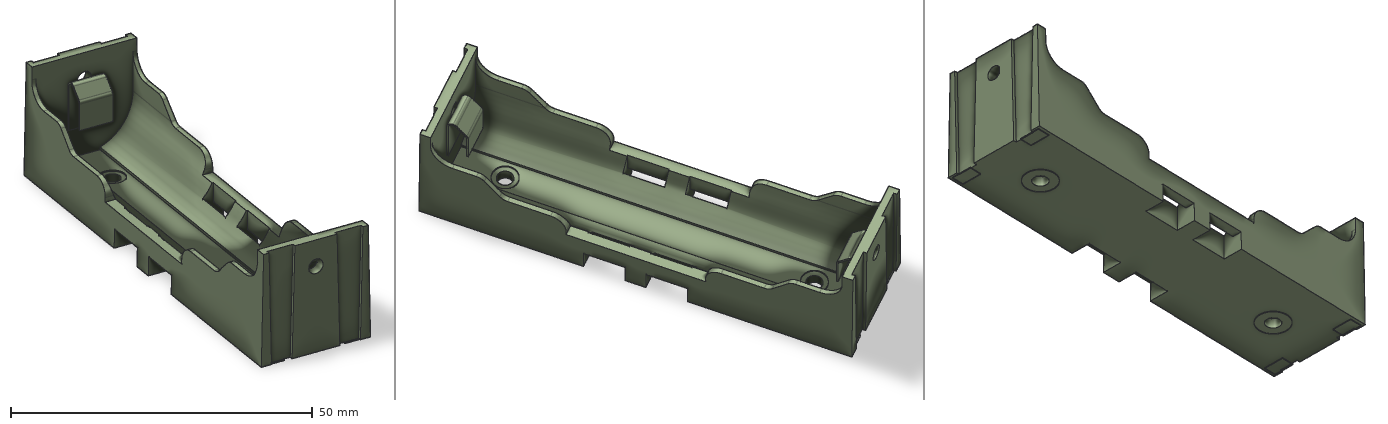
import cadquery as cq
import math


length = 77.9
base_width = 21.0
top_width = 20.2
body_height = 21.2
end_wall = 1.95

cell_radius = 9.35
cell_axis_z = 11.4
floor_z = cell_axis_z - cell_radius
floor_width = 6.0

shoulder_z = 14.8
shoulder_round = 4.0
shoulder_end_x = 27.9
step_z = 10.8
step_round = 2.0
sill_z = 7.2
sill_half_length = 12.55
sill_corner_round = 2.8

window_inner_x = 1.9
window_outer_x = 9.35
window_height = 3.6
window_depth = 4.0
sill_rail = 1.95

groove_depth = 0.6
groove_inner_top = 4.05
groove_inner_base = 4.6
groove_outer_top = 9.0
groove_outer_base = 8.6

screw_x = 27.8
screw_diameter = 2.9
counterbore_diameter = 4.7
counterbore_depth = 0.2
peep_hole_diameter = 2.7
peep_hole_z = 16.2

pad_height = 0.15
round_pad_diameter = 6.3
corner_pad_length = 2.5
corner_pad_width = 4.1
corner_pad_x = 37.3
corner_pad_y = 7.9

strip_width = 6.4
strip_thickness = 0.3
strip_back_bend = 1.2
strip_bend = 0.9
strip_depth = 3.9
strip_top_z = 16.8
strip_front_base_z = 9.1
strip_back_base_z = 7.5

inner_x = length / 2 - end_wall


def make_body():
    section = [
        (-base_width / 2, 0),
        (base_width / 2, 0),
        (top_width / 2, body_height),
        (-top_width / 2, body_height),
    ]
    return cq.Workplane("YZ").polyline(section).close().extrude(length / 2, both=True)


def make_trough():
    trough_length = 2 * inner_x
    end_plane = cq.Workplane("YZ", origin=(-inner_x, 0, 0))
    trough = end_plane.center(0, cell_axis_z).circle(cell_radius).extrude(trough_length)
    above_axis = cq.Workplane("XY", origin=(0, 0, cell_axis_z)).rect(trough_length, 2 * cell_radius)
    flat_floor = cq.Workplane("XY", origin=(0, 0, floor_z)).rect(trough_length, floor_width)
    return trough.union(above_axis.extrude(body_height)).union(flat_floor.extrude(cell_radius))


def make_side_opening():
    slope_foot_x = shoulder_end_x - (shoulder_z - step_z)
    corners = [
        (inner_x, shoulder_z, shoulder_round),
        (shoulder_end_x, shoulder_z, step_round),
        (slope_foot_x, step_z, step_round),
        (sill_half_length, step_z, sill_corner_round),
    ]
    right_side = [(inner_x, body_height)] + [(x, z) for x, z, _ in corners] + [(sill_half_length, sill_z)]
    left_side = [(-x, z) for x, z in reversed(right_side)]
    opening = cq.Workplane("XZ").polyline(right_side + left_side).close().extrude(base_width, both=True)
    for x, z, radius in corners:
        for side in (-1, 1):
            corner_edge = cq.selectors.NearestToPointSelector((side * x, 0, z))
            opening = opening.edges("|Y").edges(corner_edge).fillet(radius)
    return opening


def make_window(x_side, y_side):
    window_length = window_outer_x - window_inner_x
    center_x = x_side * (window_inner_x + window_outer_x) / 2
    outer_y = base_width / 2
    notch = cq.Workplane("XY").box(window_length, window_depth, window_height, centered=(True, True, False))
    notch = notch.translate((center_x, y_side * (outer_y - window_depth / 2), 0))
    slot_width = window_depth - sill_rail
    slot = cq.Workplane("XY").box(window_length, slot_width, body_height, centered=(True, True, False))
    slot = slot.translate((center_x, y_side * (outer_y - sill_rail - slot_width / 2), 0))
    return notch.union(slot)


def make_end_groove(x_side, y_side):
    outline = [
        (y_side * groove_inner_base, 0),
        (y_side * groove_outer_base, 0),
        (y_side * groove_outer_top, body_height),
        (y_side * groove_inner_top, body_height),
    ]
    start_x = x_side * (length / 2 - groove_depth)
    return cq.Workplane("YZ", origin=(start_x, 0, 0)).polyline(outline).close().extrude(x_side * groove_depth)


def make_pads(x_side):
    pads = cq.Workplane("XY").center(x_side * screw_x, 0).circle(round_pad_diameter / 2).extrude(-pad_height)
    corner_points = [(x_side * corner_pad_x, y_side * corner_pad_y) for y_side in (-1, 1)]
    corner_pads = cq.Workplane("XY").pushPoints(corner_points).rect(corner_pad_length, corner_pad_width)
    return pads.union(corner_pads.extrude(-pad_height))


def make_screw_hole(x_side):
    center = (x_side * screw_x, 0, -pad_height)
    hole = cq.Workplane("XY", origin=center).circle(screw_diameter / 2).extrude(body_height)
    seat = cq.Workplane("XY", origin=(x_side * screw_x, 0, floor_z - counterbore_depth))
    return hole.union(seat.circle(counterbore_diameter / 2).extrude(body_height))


def arc_point(center, radius, degrees):
    angle = math.radians(degrees)
    return (center[0] + radius * math.cos(angle), center[1] + radius * math.sin(angle))


def make_strip_filling(offset):
    """Everything under a face of the -X strip; the face lies offset inside the strip's outer face."""
    back_radius = strip_back_bend - offset
    radius = strip_bend - offset
    back_center = (strip_back_bend, strip_top_z - strip_back_bend)
    top_center = (strip_back_bend, strip_top_z - strip_bend)
    knee_x = strip_depth - strip_bend
    knee_center = (knee_x, top_center[1] - (knee_x - top_center[0]))
    return (
        cq.Workplane("XZ", origin=(-inner_x, 0, 0))
        .moveTo(offset, strip_back_base_z)
        .lineTo(offset, back_center[1])
        .threePointArc(arc_point(back_center, back_radius, 135), (strip_back_bend, strip_top_z - offset))
        .threePointArc(arc_point(top_center, radius, 67.5), arc_point(top_center, radius, 45))
        .lineTo(*arc_point(knee_center, radius, 45))
        .threePointArc(arc_point(knee_center, radius, 22.5), arc_point(knee_center, radius, 0))
        .lineTo(strip_depth - offset, strip_back_base_z)
        .close()
        .extrude(strip_width / 2, both=True)
    )


def make_contact():
    """Spring contact on the -X end wall: wall leg, rounded top, 45 degree slope and front leg."""
    strip = make_strip_filling(0).cut(make_strip_filling(strip_thickness))
    below_front_leg = (
        cq.Workplane("XY", origin=(-inner_x + strip_depth, 0, strip_back_base_z))
        .rect(strip_depth, strip_width)
        .extrude(strip_front_base_z - strip_back_base_z)
    )
    return strip.cut(below_front_leg)


result = make_body().cut(make_trough()).cut(make_side_opening())

for x_side in (-1, 1):
    result = result.union(make_pads(x_side)).cut(make_screw_hole(x_side))
    for y_side in (-1, 1):
        result = result.cut(make_window(x_side, y_side)).cut(make_end_groove(x_side, y_side))

peep_holes = cq.Workplane("YZ").center(0, peep_hole_z).circle(peep_hole_diameter / 2).extrude(length, both=True)
result = result.cut(peep_holes)

contact = make_contact()
result = result.union(contact).union(contact.mirror("YZ"))